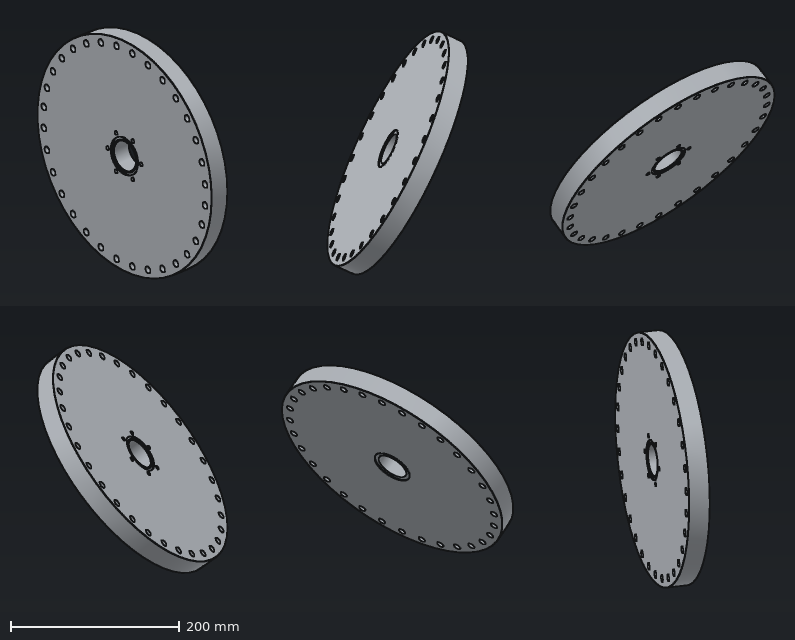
import cadquery as cq
import math

disc_diameter = 306.0
thickness = 26.0
edge_chamfer = 0.45
front_y = -thickness / 2
back_y = thickness / 2

rim_hole_count = 32
rim_hole_diameter = 8.5
rim_circle_diameter = 284.0

bore_diameter = 38.2
knife_diameter = 42.0
recess_diameter = 48.5
knife_depth = 0.5
land_depth = 1.07
knife_slope = 20.0
back_recess_depth = 1.2

screw_hole_count = 6
screw_hole_diameter = 5.0
screw_circle_diameter = 58.8
screw_hole_depth = 12.2
drill_tip_angle = 118.0

clearance = 3.0


def revolved(points):
    """Solid turned around the Y axis from (radius, y) points."""
    return cq.Workplane("XY").polyline(points).close().revolve(360, (0, 0), (0, 1))


def circle_places(diameter, count, start_angle):
    """Evenly spaced (x, z) places on a circle around the disc axis."""
    places = []
    for index in range(count):
        angle = math.radians(start_angle + index * 360 / count)
        places.append((diameter / 2 * math.cos(angle), diameter / 2 * math.sin(angle)))
    return places


def make_disc():
    disc = cq.Workplane("XZ").circle(disc_diameter / 2).extrude(thickness)
    disc = disc.translate((0, back_y, 0))
    return disc.edges().chamfer(edge_chamfer)


def make_bore_cutter():
    """Through bore with a recess at each end.

    The front recess holds a flat land next to the bore, a step up to the knife
    edge and a cone falling outward from it. The back recess is a plain counterbore.
    """
    bore_radius = bore_diameter / 2
    knife_radius = knife_diameter / 2
    recess_radius = recess_diameter / 2
    slope_drop = (recess_radius - knife_radius) * math.tan(math.radians(knife_slope))
    knife_y = front_y + knife_depth
    return revolved([
        (0, back_y + clearance),
        (recess_radius, back_y + clearance),
        (recess_radius, back_y - back_recess_depth),
        (bore_radius, back_y - back_recess_depth),
        (bore_radius, front_y + land_depth),
        (knife_radius, front_y + land_depth),
        (knife_radius, knife_y),
        (recess_radius, knife_y + slope_drop),
        (recess_radius, front_y - clearance),
        (0, front_y - clearance),
    ])


def make_rim_hole_cutters():
    places = circle_places(rim_circle_diameter, rim_hole_count, 180 / rim_hole_count)
    return (
        cq.Workplane("XZ")
        .pushPoints(places)
        .circle(rim_hole_diameter / 2)
        .extrude(back_y + clearance, both=True)
    )


def make_screw_hole_cutter():
    """Drilled blind hole with a conical bottom, on the disc axis."""
    radius = screw_hole_diameter / 2
    tip_length = radius / math.tan(math.radians(drill_tip_angle / 2))
    bottom_y = front_y + screw_hole_depth
    return revolved([
        (0, front_y - clearance),
        (radius, front_y - clearance),
        (radius, bottom_y),
        (0, bottom_y + tip_length),
    ])


result = make_disc().cut(make_bore_cutter()).cut(make_rim_hole_cutters())
screw_hole_cutter = make_screw_hole_cutter()
for x, z in circle_places(screw_circle_diameter, screw_hole_count, 0):
    result = result.cut(screw_hole_cutter.translate((x, 0, z)))